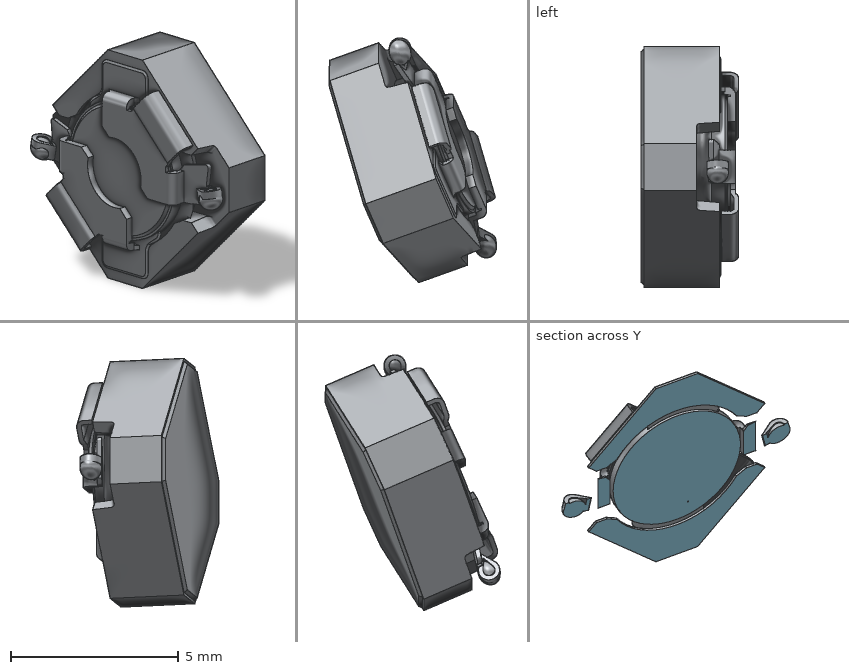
import cadquery as cq
import math

HALF_LENGTH = 3.835

BODY_DEPTH = 2.26
RIM_DEPTH = 0.09
FOOT_FACE = -0.57
PLATE_FACE = -0.475
SHEET = 0.145
GLUE = 0.085
FOOT_END = -0.06

BODY_WIDTH = 7.2
BODY_HALF = BODY_WIDTH / 2
FLAT_HALF = 0.705
SIDE_TURN = math.radians(45)
RIM_INSET = 0.085
RIM_TAPER = 42

NOTCH_DEPTH = 0.69
NOTCH_HALF = 1.005
NOTCH_BEND_X = 2.73
NOTCH_DRAFT = 5
NOTCH_FILLET = 0.13

DRUM_RADIUS = 2.65
DRUM_FLAT_X = 2.555
UNDERCUT_RADIUS = 0.315
FLANGE_RADIUS = 2.155
FLANGE_FACE = -0.15
DRUM_LIP_RADIUS = 2.08
DRUM_TOP_RADIUS = 1.995
DRUM_FACE = -0.24

GAP_RADIUS = 2.36
GAP_DEPTH = 0.245
GAP_MOUTH_X = 2.455
GAP_SHOULDER_X = 1.955
GAP_SHOULDER_Z = 1.27

PAD_HEIGHT = 0.045
PAD_HALF = 0.94
PAD_TOP = 3.28
PAD_CORNER = 0.23
PAD_SWEEP_TOP = 2.415
PAD_SWEEP_X = 0.15
PAD_SWEEP_Z = 0.3
PAD_SLOPE = 0.275
PAD_EDGE_HEIGHT = 0.04
PAD_EDGE_WIDTH = 0.08

CENTRE_RADIUS = 1.1
LEG_HALF = 0.5
LEG_REACH = 2.39
BEND_RADIUS = 0.245
NOSE_REACH = 1.35
NOSE_INNER = 0.22
FOOT_HALF = 1.0
FOOT_START = 2.11
FOOT_REACH = 3.01
FOOT_BEND = 0.27
JOGGLE = 0.2
RELIEF_DEPTH = 0.05
RELIEF_WIDTH = 0.17
SHOULDER_HALF = 0.63
SHOULDER_FACE = -0.15
GLUE_END = -0.13

TAB_TILT = 12
TAB_REACH = 3.23
TAB_FACE = -0.015
TAB_TOP_INNER = 0.68
TAB_TOP_OUTER = 0.835
TAB_BOTTOM_OUTER = -0.43
TAB_BOTTOM_BEND = 2.645
TAB_NECK = 0.08
TAB_CORNER = 0.09
CURL_X = 3.44
CURL_Y = 0.06
CURL_RADIUS = 0.32
CURL_TIP_X = 2.86
CURL_WIDTH = 0.48
CURL_RING_WIDTH = 0.23
CURL_LEAN = 11
CURL_TOP = 0.145
BALL_LONG = 0.39
BALL_SHORT = 0.32
BALL_Z = -0.17
BALL_LEAN = 20


def octagon(half, flat_half):
    """Corner points of a square on its tip with the four tips cut off."""
    return [
        (flat_half, half), (half, flat_half), (half, -flat_half), (flat_half, -half),
        (-flat_half, -half), (-half, -flat_half), (-half, flat_half), (-flat_half, half),
    ]


def front_plane(depth):
    """Sketch plane parallel to XZ at y = depth, extruding towards -Y."""
    return cq.Workplane("XZ", origin=(0, depth, 0))


def turn(part, angle):
    """Turn a part about the Y axis, from +X towards +Z."""
    return part.rotate((0, 0, 0), (0, 1, 0), -angle)


def both_ends(part):
    """Part plus its copy half a turn round the Y axis."""
    return part.union(turn(part, 180))


def make_body():
    body = front_plane(BODY_DEPTH).polyline(octagon(BODY_HALF, FLAT_HALF)).close().extrude(BODY_DEPTH)
    rim_flat = FLAT_HALF - RIM_INSET * math.tan(SIDE_TURN / 2)
    rim_outline = octagon(BODY_HALF - RIM_INSET, rim_flat)
    rim = front_plane(BODY_DEPTH).polyline(rim_outline).close().extrude(-RIM_DEPTH, taper=RIM_TAPER)
    return body.union(rim)


def make_notch():
    """Cutter for the +X notch: straight walls that flare at 45 degrees to cross the slanted sides."""
    flare = 2 * NOTCH_HALF
    outline = [
        (0, NOTCH_HALF), (NOTCH_BEND_X, NOTCH_HALF), (NOTCH_BEND_X + flare, NOTCH_HALF + flare),
        (NOTCH_BEND_X + flare, -NOTCH_HALF - flare), (NOTCH_BEND_X, -NOTCH_HALF), (0, -NOTCH_HALF),
    ]
    notch = front_plane(NOTCH_DEPTH).polyline(outline).close().extrude(NOTCH_DEPTH, taper=-NOTCH_DRAFT)
    middle = NOTCH_BEND_X + flare / 2
    for side in (1, -1):
        edge_point = (middle, NOTCH_DEPTH, side * (NOTCH_HALF + flare / 2))
        notch = notch.edges(cq.selectors.NearestToPointSelector(edge_point)).fillet(NOTCH_FILLET)
    return notch


def make_gap():
    """Cutter for the recess around the drum, widening towards both notches."""
    half_outline = [
        (GAP_MOUTH_X, NOTCH_HALF), (GAP_SHOULDER_X, GAP_SHOULDER_Z),
        (-GAP_SHOULDER_X, GAP_SHOULDER_Z), (-GAP_MOUTH_X, NOTCH_HALF),
    ]
    outline = half_outline + [(-x, -z) for x, z in half_outline]
    mouths = front_plane(GAP_DEPTH).polyline(outline).close().extrude(GAP_DEPTH)
    return front_plane(GAP_DEPTH).circle(GAP_RADIUS).extrude(GAP_DEPTH).union(mouths)


def make_drum():
    """Drum core: its rim overhangs a curved undercut and is cut flat facing the notches."""
    core_radius = DRUM_RADIUS - UNDERCUT_RADIUS
    drum = (
        cq.Workplane("XY")
        .moveTo(0, NOTCH_DEPTH)
        .lineTo(core_radius, NOTCH_DEPTH)
        .lineTo(core_radius, GAP_DEPTH + UNDERCUT_RADIUS)
        .radiusArc((DRUM_RADIUS, GAP_DEPTH), -UNDERCUT_RADIUS)
        .lineTo(FLANGE_RADIUS, GAP_DEPTH)
        .lineTo(FLANGE_RADIUS, FLANGE_FACE)
        .lineTo(DRUM_LIP_RADIUS, FLANGE_FACE)
        .lineTo(DRUM_TOP_RADIUS, DRUM_FACE)
        .lineTo(0, DRUM_FACE)
        .close()
        .revolve(360, (0, 0, 0), (0, 1, 0))
    )
    flats = cq.Workplane("XY").box(2 * DRUM_FLAT_X, 4 * NOTCH_DEPTH, 2 * DRUM_RADIUS)
    return drum.intersect(flats)


def make_pad():
    """Thin rounded pad on the +Z end, with one shoulder sweeping out towards -X."""
    slope_angle = 2 * math.atan2(PAD_SWEEP_X, PAD_SWEEP_Z)
    slope_x = PAD_SLOPE * math.sin(slope_angle)
    slope_z = PAD_SLOPE * math.cos(slope_angle)
    pad = (
        front_plane(0)
        .moveTo(PAD_HALF, 0)
        .lineTo(PAD_HALF, PAD_TOP - PAD_CORNER)
        .radiusArc((PAD_HALF - PAD_CORNER, PAD_TOP), -PAD_CORNER)
        .lineTo(PAD_CORNER - PAD_HALF, PAD_TOP)
        .radiusArc((-PAD_HALF, PAD_TOP - PAD_CORNER), -PAD_CORNER)
        .lineTo(-PAD_HALF, PAD_SWEEP_TOP)
        .tangentArcPoint((-PAD_SWEEP_X, -PAD_SWEEP_Z))
        .line(-slope_x, -slope_z)
        .tangentArcPoint((-PAD_SWEEP_X, -PAD_SWEEP_Z))
        .lineTo(0, 0)
        .close()
        .extrude(PAD_HEIGHT)
    )
    return pad.faces("<Y").edges().chamfer(PAD_EDGE_HEIGHT, PAD_EDGE_WIDTH)


def make_plate(face, thickness):
    """Flat sheet, symmetric about the line x = z, with its front at y = face."""
    leg_root = LEG_REACH - BEND_RADIUS
    relief = leg_root - RELIEF_DEPTH
    relief_end = LEG_HALF + RELIEF_WIDTH
    foot_mid = FOOT_START / math.sqrt(2)
    foot_side = FOOT_HALF / math.sqrt(2)
    nose_z = math.sqrt(CENTRE_RADIUS**2 - NOSE_INNER**2)
    arc_mid = CENTRE_RADIUS / math.sqrt(2)
    return (
        front_plane(face + thickness)
        .moveTo(-NOSE_INNER, nose_z)
        .lineTo(-LEG_HALF, NOSE_REACH)
        .lineTo(-LEG_HALF, leg_root)
        .lineTo(LEG_HALF, leg_root)
        .lineTo(LEG_HALF, relief)
        .lineTo(relief_end, relief)
        .lineTo(foot_mid - foot_side, foot_mid + foot_side)
        .lineTo(foot_mid + foot_side, foot_mid - foot_side)
        .lineTo(relief, relief_end)
        .lineTo(relief, LEG_HALF)
        .lineTo(leg_root, LEG_HALF)
        .lineTo(leg_root, -LEG_HALF)
        .lineTo(NOSE_REACH, -LEG_HALF)
        .lineTo(nose_z, -NOSE_INNER)
        .threePointArc((arc_mid, arc_mid), (-NOSE_INNER, nose_z))
        .close()
        .extrude(thickness)
    )


def make_leg(reach, face, radius, thickness, end):
    """Strip that bends back from a plate at +X and runs down to y = end."""
    root = reach - radius
    bend_y = face + radius
    return (
        cq.Workplane("XY", origin=(0, 0, -LEG_HALF))
        .moveTo(root, face)
        .radiusArc((reach, bend_y), -radius)
        .lineTo(reach, end)
        .lineTo(reach - thickness, end)
        .lineTo(reach - thickness, bend_y)
        .radiusArc((root, face + thickness), radius - thickness)
        .close()
        .extrude(2 * LEG_HALF)
    )


def make_metal_leg(end):
    """Leg of the terminal sheet itself."""
    return make_leg(LEG_REACH, PLATE_FACE, BEND_RADIUS, SHEET, end)


def make_shoulder():
    """Flared step at the base of a body leg."""
    outline = [
        (0, SHOULDER_HALF), (-PAD_HEIGHT, SHOULDER_HALF), (SHOULDER_FACE, LEG_HALF),
        (SHOULDER_FACE, -LEG_HALF), (-PAD_HEIGHT, -SHOULDER_HALF), (0, -SHOULDER_HALF),
    ]
    return cq.Workplane("YZ", origin=(LEG_REACH - SHEET, 0, 0)).polyline(outline).close().extrude(SHEET)


def make_glue():
    """Adhesive that lines the inside of the plate and both legs and bonds them to the drum."""
    face = PLATE_FACE + SHEET
    flange = front_plane(GAP_DEPTH).circle(FLANGE_RADIUS).extrude(GAP_DEPTH - face)
    glue = make_plate(face, DRUM_FACE - face).intersect(flange)
    leg = make_leg(LEG_REACH - SHEET, face, BEND_RADIUS - SHEET, GLUE, GLUE_END)
    return glue.union(leg).union(turn(leg, 90))


def make_foot():
    """Solder foot on +X: a joggle up from the plate, a flat and a bend back along the body side."""
    step = PLATE_FACE - FOOT_FACE
    joggle_radius = (JOGGLE**2 + step**2) / (2 * step)
    flat_end = FOOT_REACH - FOOT_BEND
    bend_y = FOOT_FACE + FOOT_BEND
    return (
        cq.Workplane("XY", origin=(0, 0, -FOOT_HALF))
        .moveTo(FOOT_START, PLATE_FACE)
        .radiusArc((FOOT_START + JOGGLE, FOOT_FACE), -joggle_radius)
        .lineTo(flat_end, FOOT_FACE)
        .radiusArc((FOOT_REACH, bend_y), -FOOT_BEND)
        .lineTo(FOOT_REACH, FOOT_END)
        .lineTo(FOOT_REACH - SHEET, FOOT_END)
        .lineTo(FOOT_REACH - SHEET, bend_y)
        .radiusArc((flat_end, FOOT_FACE + SHEET), FOOT_BEND - SHEET)
        .lineTo(FOOT_START + JOGGLE, FOOT_FACE + SHEET)
        .lineTo(FOOT_START, PLATE_FACE + SHEET)
        .close()
        .extrude(2 * FOOT_HALF)
    )


def make_terminal():
    """Terminal on the (+X, +Z) corner."""
    terminal = make_plate(PLATE_FACE, SHEET).union(turn(make_foot(), 45)).union(make_glue())
    terminal = terminal.union(turn(make_metal_leg(0), 90)).union(turn(make_shoulder(), 90))
    return terminal.union(make_metal_leg(TAB_FACE + SHEET))


def make_tab():
    """Tilted tab that runs outwards over the +X notch."""
    root = LEG_REACH - SHEET
    run = TAB_REACH - root
    rise = run * math.tan(math.radians(TAB_TILT))
    outline = [
        (root, -LEG_HALF), (root, LEG_HALF), (LEG_REACH, TAB_TOP_INNER), (TAB_REACH, TAB_TOP_OUTER),
        (TAB_REACH - TAB_NECK, CURL_TOP), (TAB_REACH, CURL_TOP), (TAB_REACH, TAB_BOTTOM_OUTER),
        (TAB_BOTTOM_BEND, -LEG_HALF),
    ]
    blank = front_plane(NOTCH_DEPTH).polyline(outline).close().extrude(2 * NOTCH_DEPTH)
    corner = cq.selectors.NearestToPointSelector((TAB_REACH, 0, TAB_TOP_OUTER))
    blank = blank.edges(corner).fillet(TAB_CORNER)
    sheet = (
        cq.Workplane("XY", origin=(0, 0, -NOTCH_HALF))
        .moveTo(root, TAB_FACE)
        .lineTo(TAB_REACH, TAB_FACE + rise)
        .lineTo(TAB_REACH, TAB_FACE + rise + SHEET)
        .lineTo(root, TAB_FACE + SHEET)
        .close()
        .extrude(2 * NOTCH_HALF)
    )
    return blank.intersect(sheet)


def make_curl():
    """Teardrop loop at the end of the tab, with its tip folded back in front of the tab."""
    def teardrop(radius, tip_x):
        """Circle at the loop centre joined by tangents to a point at x = tip_x."""
        reach = CURL_X - tip_x
        spread = math.acos(radius / reach)
        touch_x = CURL_X - radius * math.cos(spread)
        touch_y = radius * math.sin(spread)
        return (
            cq.Workplane("XY", origin=(0, 0, CURL_TOP - CURL_WIDTH))
            .moveTo(tip_x, CURL_Y)
            .lineTo(touch_x, CURL_Y + touch_y)
            .threePointArc((CURL_X + radius, CURL_Y), (touch_x, CURL_Y - touch_y))
            .close()
            .extrude(CURL_WIDTH)
        )

    inner_tip = CURL_TIP_X + SHEET
    loop = teardrop(CURL_RADIUS, CURL_TIP_X).cut(teardrop(CURL_RADIUS - SHEET, inner_tip))
    trim = cq.Workplane("XY").box(2 * CURL_RADIUS, 2 * CURL_RADIUS, CURL_WIDTH)
    loop = loop.cut(trim.translate((CURL_X, CURL_Y, CURL_TOP - CURL_RING_WIDTH - CURL_WIDTH / 2)))
    return loop.rotate((CURL_X, 0, CURL_TOP), (CURL_X, 1, CURL_TOP), -CURL_LEAN)


def make_ball():
    """Egg-shaped solder drop that fills the loop and touches the end of the part's length."""
    lean = math.radians(BALL_LEAN)
    half_width = math.hypot(BALL_LONG * math.cos(lean), BALL_SHORT * math.sin(lean))
    ball = (
        cq.Workplane("XY")
        .ellipseArc(BALL_LONG, BALL_SHORT, 0, 180, startAtCurrent=False)
        .close()
        .revolve(360, (0, 0, 0), (1, 0, 0))
    )
    return turn(ball, BALL_LEAN).translate((HALF_LENGTH - half_width, CURL_Y, BALL_Z))


notch = make_notch()
lead = make_tab().union(make_curl()).union(make_ball())

result = make_body().cut(notch).cut(notch.mirror("YZ")).cut(make_gap()).union(make_drum())
result = result.union(both_ends(make_pad())).union(both_ends(make_terminal()))
result = result.union(lead).union(lead.mirror("YZ"))